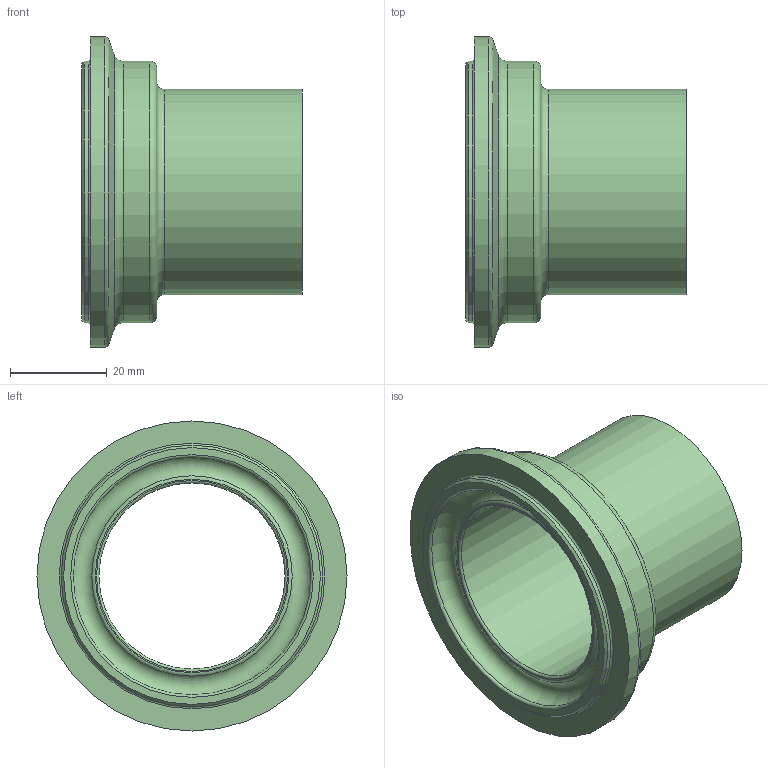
import cadquery as cq
import math

total_length = 45.5
bore_radius = 38.4 / 2
tube_radius = 42.4 / 2
collar_radius = 54.0 / 2
flange_radius = 64.0 / 2

flange_front_x = 1.8
cone_top_x = 5.4
cone_angle = math.radians(19)
rim_round = 0.9
cone_fillet = 2.0

lip_chamfer = 0.5
lip_fillet = 0.4

shoulder_x = 15.5
shoulder_round = 1.5

groove_section_radius = 2.5
groove_center_x = 2.1
groove_center_radius = 22.5
lip_inner_round = 0.5

bore_rim_x = 3.5
bore_rim_outer_round = 1.0
bore_rim_inner_round = 0.5


def make_outside():
    """Solid outer shape, before the bore and the groove are cut."""
    tangent_factor = math.tan((math.pi / 2 - cone_angle) / 2)
    cone_foot_x = cone_top_x + (flange_radius - collar_radius) * math.tan(cone_angle)

    rim_tangent = rim_round * tangent_factor
    rim_start = (cone_top_x - rim_tangent, flange_radius)
    rim_end = (
        cone_top_x + rim_tangent * math.sin(cone_angle),
        flange_radius - rim_tangent * math.cos(cone_angle),
    )

    foot_tangent = cone_fillet * tangent_factor
    foot_start = (
        cone_foot_x - foot_tangent * math.sin(cone_angle),
        collar_radius + foot_tangent * math.cos(cone_angle),
    )
    foot_end = (cone_foot_x + foot_tangent, collar_radius)

    profile = (
        cq.Workplane("XY")
        .moveTo(0, 0)
        .lineTo(0, collar_radius - lip_chamfer)
        .lineTo(lip_chamfer, collar_radius)
        .lineTo(flange_front_x - lip_fillet, collar_radius)
        .tangentArcPoint((flange_front_x, collar_radius + lip_fillet), relative=False)
        .lineTo(flange_front_x, flange_radius)
        .lineTo(*rim_start)
        .tangentArcPoint(rim_end, relative=False)
        .lineTo(*foot_start)
        .tangentArcPoint(foot_end, relative=False)
        .lineTo(shoulder_x - shoulder_round, collar_radius)
        .tangentArcPoint((shoulder_x, collar_radius - shoulder_round), relative=False)
        .lineTo(shoulder_x, tube_radius + shoulder_round)
        .tangentArcPoint((shoulder_x + shoulder_round, tube_radius), relative=False)
        .lineTo(total_length, tube_radius)
        .lineTo(total_length, 0)
        .close()
    )
    return profile.revolve(360, (0, 0, 0), (1, 0, 0))


def groove_round(face_x, round_radius, side):
    """Round joining a radial face to the groove, outside (side 1) or inside (side -1) its centre.

    Returns the round's tangent point on the face and its tangent point on the groove.
    """
    center_distance = groove_section_radius + round_radius
    offset_x = face_x + round_radius - groove_center_x
    offset_radius = side * math.sqrt(center_distance**2 - offset_x**2)
    groove_share = groove_section_radius / center_distance
    face_point = (face_x, groove_center_radius + offset_radius)
    groove_point = (
        groove_center_x + groove_share * offset_x,
        groove_center_radius + groove_share * offset_radius,
    )
    return face_point, groove_point


def make_inside():
    """Cutter for the front groove, the rounded bore rim and the through bore."""
    lip_on_face, lip_on_groove = groove_round(0, lip_inner_round, 1)
    rim_on_face, rim_on_groove = groove_round(bore_rim_x, bore_rim_outer_round, -1)
    groove_bottom = (groove_center_x + groove_section_radius, groove_center_radius)

    profile = (
        cq.Workplane("XY")
        .moveTo(0, 0)
        .lineTo(*lip_on_face)
        .radiusArc(lip_on_groove, -lip_inner_round)
        .threePointArc(groove_bottom, rim_on_groove)
        .tangentArcPoint(rim_on_face, relative=False)
        .lineTo(bore_rim_x, bore_radius + bore_rim_inner_round)
        .radiusArc((bore_rim_x + bore_rim_inner_round, bore_radius), -bore_rim_inner_round)
        .lineTo(total_length, bore_radius)
        .lineTo(total_length, 0)
        .close()
    )
    return profile.revolve(360, (0, 0, 0), (1, 0, 0))


result = make_outside().cut(make_inside())